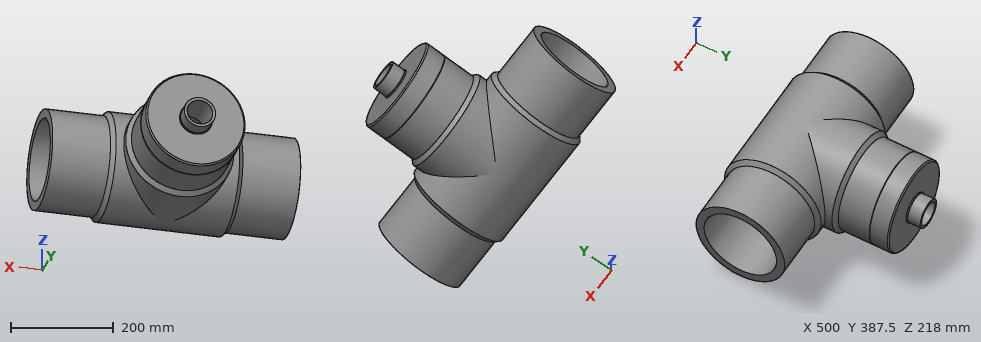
import cadquery as cq

run_length = 500.0
pipe_diameter = 200.0
bore_diameter = 163.5
sleeve_diameter = 218.0
sleeve_reach = 133.5
sleeve_chamfer = (sleeve_diameter - pipe_diameter) / 2

branch_end = 203.5
cap_end = 247.0
outlet_end = 278.5

cap_edge_chamfer = 3.0
cap_joint_chamfer = 1.0
outlet_diameter = 63.0
outlet_bore_diameter = 51.5
collar_diameter = 65.5
collar_height = 3.0


def run_cylinder(diameter, length):
    """Cylinder along X, centred on the tee centre."""
    return cq.Workplane("YZ").circle(diameter / 2).extrude(length / 2, both=True)


def branch_cylinder(diameter, start, end):
    """Cylinder along +Y between two distances from the run axis."""
    plane = cq.Workplane(cq.Plane(origin=(0, start, 0), xDir=(1, 0, 0), normal=(0, 1, 0)))
    return plane.circle(diameter / 2).extrude(end - start)


def make_tee():
    """Equal tee with a chamfered sleeve around the joint and a common bore."""
    run_sleeve = run_cylinder(sleeve_diameter, 2 * sleeve_reach).edges("%CIRCLE").chamfer(sleeve_chamfer)
    branch_sleeve = branch_cylinder(sleeve_diameter, 0, sleeve_reach).faces(">Y").chamfer(sleeve_chamfer)
    run_pipe = run_cylinder(pipe_diameter, run_length)
    branch_pipe = branch_cylinder(pipe_diameter, 0, branch_end)
    outside = run_sleeve.union(branch_sleeve).union(run_pipe).union(branch_pipe)

    run_bore = run_cylinder(bore_diameter, run_length)
    branch_bore = branch_cylinder(bore_diameter, 0, branch_end)
    return outside.cut(run_bore).cut(branch_bore)


def make_cap():
    """Disc that closes the branch, with a collared, bored outlet pipe."""
    disc = branch_cylinder(pipe_diameter, branch_end, cap_end)
    disc = disc.faces(">Y").chamfer(cap_edge_chamfer).faces("<Y").chamfer(cap_joint_chamfer)
    collar = branch_cylinder(collar_diameter, branch_end, cap_end + collar_height)
    outlet = branch_cylinder(outlet_diameter, branch_end, outlet_end)
    outlet_bore = branch_cylinder(outlet_bore_diameter, branch_end, outlet_end)
    return disc.union(collar).union(outlet).cut(outlet_bore)


tee = make_tee()
cap = make_cap()
result = cq.Compound.makeCompound([tee.val(), cap.val()])